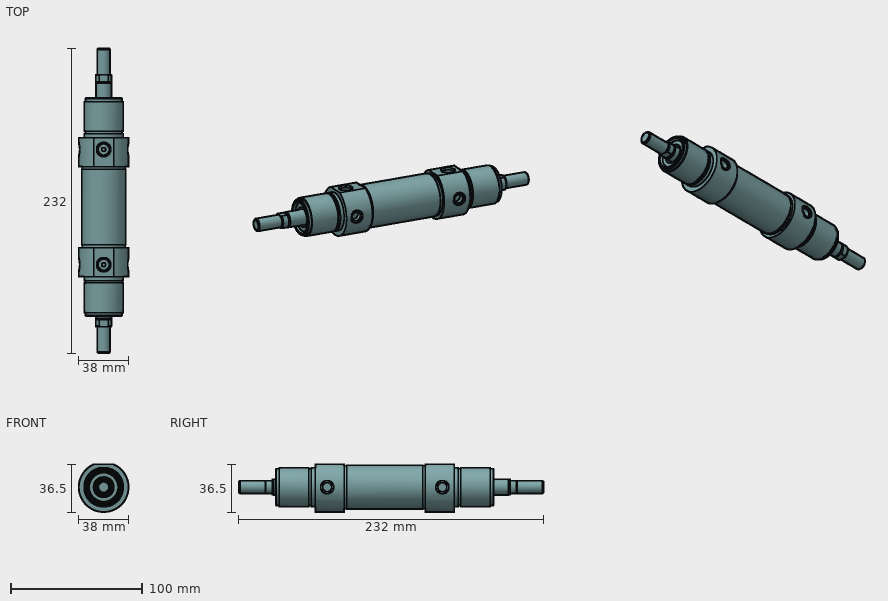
import cadquery as cq
import math

overall_length = 232.0
nose_tip = 83.0
head_outer_end = 53.0
head_length = 22.0
head_inner_end = head_outer_end - head_length
rear_extension = 28.0
front_extension = overall_length - 2 * nose_tip - rear_extension

tube_diameter = 33.6
neck_diameter = 33.0
neck_length = 2.0

head_diameter = 38.0
flat_width = 15.0
flat_height = math.sqrt((head_diameter / 2) ** 2 - (flat_width / 2) ** 2)

nose_diameter = 30.0
relief_diameter = 28.0
groove_start = head_outer_end + 3.0
groove_width = 1.9
pilot_length = 2.8
pilot_chamfer = 0.58

recess_mouth_diameter = 24.4
recess_floor_diameter = 22.0
recess_depth = 1.9
seat_mouth_diameter = 15.5
seat_floor_diameter = 13.0
seat_depth = 7.0

port_y = head_outer_end - 9.0
port_diameter = 8.5
port_mouth_diameter = 11.0
port_depth = 7.0
passage_diameter = 3.0
passage_depth = 2.3
pivot_hole_diameter = 7.0
pivot_counterbore_diameter = 10.0
pivot_counterbore_depth = 1.5
pivot_hole_depth = 5.8

rod_diameter = 12.0
thread_diameter = 10.0
thread_length = 20.0
thread_chamfer = 1.0
flat_spacing = 10.0
flat_length = 5.5
collar_length = 6.0
collar_end_diameter = 11.5
collar_bevel_length = 0.7


def turned(profile):
    """Solid of revolution about Y from (diameter, y) pairs, closed along the axis."""
    outline = [(0, profile[0][1])]
    outline += [(diameter / 2, y) for diameter, y in profile]
    outline += [(0, profile[-1][1])]
    return cq.Workplane("XY").polyline(outline).close().revolve(360, (0, 0, 0), (0, 1, 0))


def drilled(diameter, depth, mouth, direction):
    """Cylinder that cuts a blind hole running from its mouth along direction."""
    return cq.Workplane(cq.Solid.makeCylinder(diameter / 2, depth, mouth, direction))


def make_tube():
    shoulder = head_inner_end - neck_length
    return turned([
        (neck_diameter, -head_inner_end),
        (neck_diameter, -shoulder),
        (tube_diameter, -shoulder),
        (tube_diameter, shoulder),
        (neck_diameter, shoulder),
        (neck_diameter, head_inner_end),
    ])


def make_head_blank():
    """Round head with its threaded nose, both solid."""
    groove_end = groove_start + groove_width
    pilot_start = nose_tip - pilot_length
    return turned([
        (head_diameter, head_inner_end),
        (head_diameter, head_outer_end),
        (nose_diameter, head_outer_end),
        (nose_diameter, groove_start),
        (relief_diameter, groove_start),
        (relief_diameter, groove_end),
        (nose_diameter, groove_end),
        (nose_diameter, pilot_start),
        (relief_diameter, pilot_start),
        (relief_diameter, nose_tip - pilot_chamfer),
        (relief_diameter - 2 * pilot_chamfer, nose_tip),
    ])


def make_rod_opening():
    """Rod bore with the seal seat and the recess at its outer end."""
    recess_floor = nose_tip - recess_depth
    seat_floor = recess_floor - seat_depth
    return turned([
        (rod_diameter, head_inner_end),
        (rod_diameter, seat_floor),
        (seat_floor_diameter, seat_floor),
        (seat_mouth_diameter, recess_floor),
        (recess_floor_diameter, recess_floor),
        (recess_mouth_diameter, nose_tip),
    ])


def cut_air_port(head):
    """Countersunk port in the flat, with a small air passage in its floor."""
    down = cq.Vector(0, 0, -1)
    mouth = cq.Vector(0, port_y, flat_height)
    countersink_depth = (port_mouth_diameter - port_diameter) / 2
    countersink = cq.Solid.makeCone(
        port_mouth_diameter / 2, port_diameter / 2, countersink_depth, mouth, down
    )
    return (
        head.cut(cq.Workplane(countersink))
        .cut(drilled(port_diameter, port_depth, mouth, down))
        .cut(drilled(passage_diameter, port_depth + passage_depth, mouth, down))
    )


def cut_pivot_hole(head, side):
    """Counterbored pivot hole on the +X (side = 1) or -X (side = -1) side."""
    inward = cq.Vector(-side, 0, 0)
    mouth = cq.Vector(side * head_diameter / 2, port_y, 0)
    counterbore = drilled(pivot_counterbore_diameter, pivot_counterbore_depth, mouth, inward)
    return head.cut(counterbore).cut(drilled(pivot_hole_diameter, pivot_hole_depth, mouth, inward))


def make_head():
    """Cylinder head at the +Y end."""
    above_flat = (
        cq.Workplane("XY", origin=(0, 0, flat_height))
        .rect(2 * head_diameter, 4 * head_outer_end)
        .extrude(head_diameter)
    )
    head = make_head_blank().cut(above_flat).cut(make_rod_opening())
    head = cut_air_port(head)
    for side in (-1, 1):
        head = cut_pivot_hole(head, side)
    return head


def make_rod(extension):
    """Piston rod at the +Y end, reaching past the nose by extension."""
    tip = nose_tip + extension
    shoulder = tip - thread_length
    collar_start = shoulder - collar_length
    rod = turned([
        (rod_diameter, head_inner_end),
        (rod_diameter, collar_start - collar_bevel_length),
        (collar_end_diameter, collar_start),
        (rod_diameter, collar_start + collar_bevel_length),
        (rod_diameter, shoulder - collar_bevel_length),
        (collar_end_diameter, shoulder),
        (thread_diameter, shoulder),
        (thread_diameter, tip - thread_chamfer),
        (thread_diameter - 2 * thread_chamfer, tip),
    ])
    flat_middle = shoulder - flat_length / 2
    for side in (-1, 1):
        flat = cq.Workplane("XY").box(rod_diameter, flat_length, rod_diameter).translate(
            (0, flat_middle, side * (flat_spacing + rod_diameter) / 2)
        )
        rod = rod.cut(flat)
    return rod


def at_rear(body):
    """The same body at the -Y end."""
    return body.mirror("XZ")


tube = make_tube()
heads = [make_head(), at_rear(make_head())]
rods = [make_rod(front_extension), at_rear(make_rod(rear_extension))]

result = cq.Compound.makeCompound([body.val() for body in [tube, *heads, *rods]])